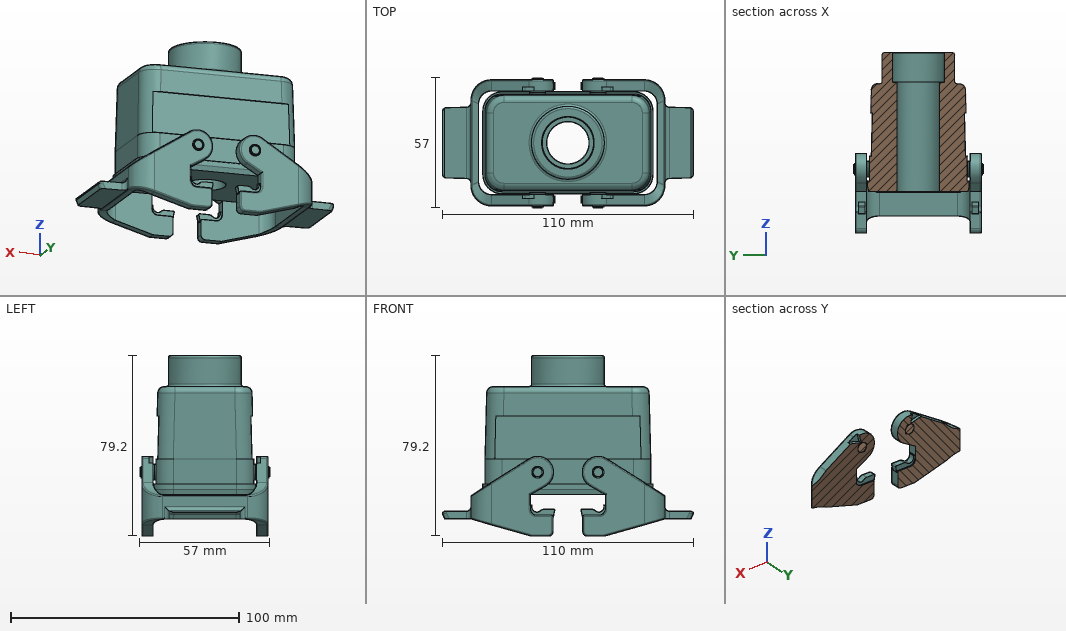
import cadquery as cq
import math


overall_height = 79.2
select_margin = 0.1

skirt_length = 72.75
skirt_width = 42.9
skirt_corner_radius = 7.6
skirt_bottom = 4.7
skirt_top = 15.6
hood_top = 47.4
wall_draft = 1.45
top_edge_radius = 3.0

flange_overhang = 0.95
flange_chamfer_height = 2.3
flange_chamfer_width = 0.6

recess_top = 34.4
recess_depth = 0.75

overall_top = 61.0
neck_diameter = 32.0
neck_top_radius = 1.0
neck_foot_radius = 1.0
bore_diameter = 22.5
bore_edge_chamfer = 0.3
bore_floor = 48.0
passage_diameter = 18.5

pivot_x = 13.25
pivot_z = 9.85
boss_diameter = 7.0
boss_face_y = 22.1
pin_diameter = 5.1
pin_hole_diameter = 5.13
pin_shoulder_y = 28.1
pin_tip_diameter = 4.0
pin_tip_y = 28.5

lever_end_x = -42.5
lever_half_width = 27.67
arm_thickness = 5.0
bar_thickness = 3.4
frame_outer_radius = 9.0
frame_inner_radius = frame_outer_radius - bar_thickness
arm_inner_y = lever_half_width - arm_thickness
corner_x = lever_end_x + frame_outer_radius
edge_radius = 0.6

hub_radius = 6.95
bar_top_z = -0.3
bar_bottom_z = -10.75
foot_bottom = overall_top - overall_height
foot_start_x = -16.0
foot_corner_radius = 2.0
hook_end_x = -6.5
slot_wall_x = -16.4
slot_top_z = 0.0
slot_floor_z = -9.0
slot_corner_radius = 2.8
hook_corner_radius = 0.6

nose_inner_y = 23.4
nose_outer_y = 26.35
nose_back_x = -15.7
nose_back_z = -4.6
nose_hollow_x = -15.35
nose_hollow_z = -6.65
nose_valley_x = -13.6
nose_valley_z = -7.65
nose_crest_x = -10.4
nose_crest_z = -6.35
nose_tip_x = -5.75
nose_foot_x = -6.3
nose_tip_radius = 0.5
nose_embed_depth = 1.0

notch_outer_x = -20.1
notch_ledge_z = 13.9
notch_ledge_end_x = -18.7
notch_root_x = -14.0
notch_root_z = 12.6
notch_lip_x = -15.0
notch_lip_z = 17.0
notch_width = 1.8

tab_tip_x = -55.0
tab_top_z = -7.25
tab_bottom_z = -10.6
tab_tip_top_z = -7.8
tab_tip_bottom_z = -8.5
tab_edge_x = -54.0
tab_tip_half_width = 15.4
tab_root_half_width = 15.75
tab_corner_radius = 1.8
tab_root_radius = 2.0


def cylinder_y(diameter, start_y, end_y, x, z):
    """Cylinder along Y between two Y positions."""
    plane = cq.Plane(origin=(x, start_y, z), xDir=(1, 0, 0), normal=(0, 1, 0))
    return cq.Workplane(plane).circle(diameter / 2).extrude(end_y - start_y)


def rounded_block(length, width, radius, bottom, top):
    block = cq.Workplane("XY").box(length, width, top - bottom, centered=(True, True, False))
    return block.edges("|Z").fillet(radius).translate((0, 0, bottom))


def wall_inset(z):
    """How far the drafted wall has moved inward at height z."""
    return (z - skirt_top) * math.tan(math.radians(wall_draft))


def make_hood_shell():
    skirt = rounded_block(skirt_length, skirt_width, skirt_corner_radius, skirt_bottom, skirt_top)
    upper = (
        cq.Workplane("XY", origin=(0, 0, skirt_top))
        .rect(skirt_length, skirt_width)
        .extrude(hood_top - skirt_top, taper=wall_draft)
        .edges("not #Z").fillet(skirt_corner_radius)
        .faces(">Z").edges().fillet(top_edge_radius)
    )
    flange = rounded_block(
        skirt_length + 2 * flange_overhang,
        skirt_width + 2 * flange_overhang,
        skirt_corner_radius + flange_overhang,
        0,
        skirt_bottom,
    )
    flange = flange.faces("<Z").edges().chamfer(flange_chamfer_height, flange_chamfer_width)
    return skirt.union(upper).union(flange)


def make_wall_recess():
    """Cutter for the -Y wall: its inner face runs parallel to the drafted wall."""
    floor_bottom_y = -skirt_width / 2 + recess_depth
    floor_top_y = floor_bottom_y + wall_inset(recess_top)
    return (
        cq.Workplane("YZ")
        .polyline([
            (floor_bottom_y, skirt_top),
            (floor_top_y, recess_top),
            (-skirt_width, recess_top),
            (-skirt_width, skirt_top),
        ])
        .close()
        .extrude(skirt_length / 2, both=True)
    )


def make_hood():
    hood = make_hood_shell()
    recess = make_wall_recess()
    hood = hood.cut(recess).cut(recess.mirror("XZ"))

    neck_start = hood_top - top_edge_radius
    neck = (
        cq.Workplane("XY", origin=(0, 0, neck_start))
        .circle(neck_diameter / 2)
        .extrude(overall_top - neck_start)
        .faces(">Z").edges().fillet(neck_top_radius)
    )
    hood = hood.union(neck)
    neck_foot = cq.selectors.BoxSelector(
        (-neck_diameter, -neck_diameter, hood_top - select_margin),
        (neck_diameter, neck_diameter, hood_top + select_margin),
        boundingbox=False,
    )
    hood = hood.edges("%CIRCLE").edges(neck_foot).fillet(neck_foot_radius)

    bore = cq.Workplane("XY", origin=(0, 0, bore_floor)).circle(bore_diameter / 2).extrude(overall_top)
    hood = hood.cut(bore)
    passage = cq.Workplane("XY").circle(passage_diameter / 2).extrude(overall_top)
    hood = hood.cut(passage)
    bore_edge = cq.selectors.RadiusNthSelector(0)
    hood = hood.faces(">Z").edges(bore_edge).chamfer(bore_edge_chamfer)

    for x in (-pivot_x, pivot_x):
        for side in (-1, 1):
            wall_y = side * (skirt_width / 2 - recess_depth)
            hood = hood.union(cylinder_y(boss_diameter, wall_y, side * boss_face_y, x, pivot_z))
            hood = hood.union(cylinder_y(pin_diameter, wall_y, side * pin_shoulder_y, x, pivot_z))
            hood = hood.union(cylinder_y(pin_tip_diameter, wall_y, side * pin_tip_y, x, pivot_z))
    return hood


def hub_tangent_point(x, z, side):
    """Point where the line from (x, z) touches the hub circle; side +1 or -1 picks which one."""
    dx = x + pivot_x
    dz = z - pivot_z
    direction = math.atan2(dz, dx) + side * math.acos(hub_radius / math.hypot(dx, dz))
    return (-pivot_x + hub_radius * math.cos(direction), pivot_z + hub_radius * math.sin(direction))


def height_on_line(x, start, end):
    return start[1] + (end[1] - start[1]) * (x - start[0]) / (end[0] - start[0])


top_tangent = hub_tangent_point(lever_end_x, bar_top_z, -1)
slot_tangent = hub_tangent_point(slot_wall_x, slot_top_z, 1)
arm_top_z = height_on_line(corner_x, (lever_end_x, bar_top_z), top_tangent)
arm_bottom_z = height_on_line(corner_x, (lever_end_x, bar_bottom_z), (foot_start_x, foot_bottom))
corner_steps = 8


def make_arms():
    """Both arms, from the rounded frame corners to the hook: side outline extruded along Y."""
    hub_front = (-pivot_x + hub_radius, pivot_z)
    arms = (
        cq.Workplane("XZ")
        .moveTo(corner_x, arm_bottom_z)
        .lineTo(corner_x, arm_top_z)
        .lineTo(*top_tangent)
        .threePointArc(hub_front, slot_tangent)
        .lineTo(slot_wall_x, slot_top_z)
        .lineTo(slot_wall_x, slot_floor_z)
        .lineTo(hook_end_x, slot_floor_z)
        .lineTo(hook_end_x, foot_bottom)
        .lineTo(foot_start_x, foot_bottom)
        .close()
        .extrude(lever_half_width, both=True)
    )

    def corner(x, z):
        return cq.selectors.NearestToPointSelector((x, 0, z))

    arms = arms.edges("|Y").edges(corner(slot_wall_x, slot_floor_z)).fillet(slot_corner_radius)
    arms = arms.edges("|Y").edges(corner(hook_end_x, slot_floor_z)).fillet(hook_corner_radius)
    arms = arms.edges("|Y").edges(corner(hook_end_x, foot_bottom)).fillet(foot_corner_radius)
    gap = cq.Workplane("XY").box(-4 * lever_end_x, 2 * arm_inner_y, 4 * overall_top)
    return arms.cut(gap)


def corner_edge(radius, arm_side_y, arm_z, bar_z):
    """Edge of the +Y frame corner: a quarter turn that runs from arm_z at the arm to bar_z at the bar."""
    center_y = arm_side_y - radius
    points = []
    for step in range(corner_steps + 1):
        angle = math.pi / 2 * step / corner_steps
        points.append(cq.Vector(
            corner_x - radius * math.sin(angle),
            center_y + radius * math.cos(angle),
            arm_z + (bar_z - arm_z) * math.sin(angle),
        ))
    return cq.Edge.makeSpline(points, tangents=[
        cq.Vector(-radius, 0, bar_z - arm_z),
        cq.Vector(0, -radius, 0),
    ])


def make_frame_corner():
    """The +Y frame corner, whose top and bottom twist from the sloped arm to the level bar."""
    outer_top = corner_edge(frame_outer_radius, lever_half_width, arm_top_z, bar_top_z)
    inner_top = corner_edge(frame_inner_radius, arm_inner_y, arm_top_z, bar_top_z)
    outer_bottom = corner_edge(frame_outer_radius, lever_half_width, arm_bottom_z, bar_bottom_z)
    inner_bottom = corner_edge(frame_inner_radius, arm_inner_y, arm_bottom_z, bar_bottom_z)

    def end_face(at_start):
        def end(edge):
            return edge.startPoint() if at_start else edge.endPoint()
        loop = [end(edge) for edge in (outer_top, inner_top, inner_bottom, outer_bottom)]
        return cq.Face.makeFromWires(cq.Wire.makePolygon(loop, close=True))

    faces = [
        cq.Face.makeRuledSurface(outer_top, inner_top),
        cq.Face.makeRuledSurface(outer_bottom, inner_bottom),
        cq.Face.makeRuledSurface(outer_top, outer_bottom),
        cq.Face.makeRuledSurface(inner_top, inner_bottom),
        end_face(True),
        end_face(False),
    ]
    return cq.Workplane(cq.Solid.makeSolid(cq.Shell.makeShell(faces)).fix())


def make_frame():
    bar = cq.Workplane("XY").box(
        bar_thickness,
        2 * (lever_half_width - frame_outer_radius),
        bar_top_z - bar_bottom_z,
        centered=(False, True, False),
    ).translate((lever_end_x, 0, bar_bottom_z))
    corner = make_frame_corner()
    return make_arms().union(bar).union(corner).union(corner.mirror("XZ"))


def round_outer_edges(frame):
    """Round the outline of both arms and the outer edges of the corners and the bar."""
    def corner_zone(low_y, high_y):
        return cq.selectors.BoxSelector(
            (lever_end_x, low_y, foot_bottom),
            (corner_x - select_margin, high_y, hub_radius),
        )

    edges = frame.faces("<Y or >Y").edges()
    edges = edges.add(frame.faces("<X").edges("|Y"))
    edges = edges.add(frame.edges(corner_zone(arm_inner_y, lever_half_width)).edges("not |Z"))
    edges = edges.add(frame.edges(corner_zone(-lever_half_width, -arm_inner_y)).edges("not |Z"))
    return edges.fillet(edge_radius)


def make_nose():
    """Latch nose of the +Y arm: a hollow behind a raised crest."""
    shoulder_z = slot_floor_z - edge_radius
    root_z = shoulder_z - nose_embed_depth
    root_x = slot_wall_x - edge_radius
    crest_run = nose_crest_x - nose_valley_x
    return (
        cq.Workplane("XZ", origin=(0, nose_outer_y, 0))
        .moveTo(root_x, nose_back_z)
        .lineTo(nose_back_x, nose_back_z)
        .threePointArc((nose_hollow_x, nose_hollow_z), (nose_valley_x, nose_valley_z))
        .spline(
            [(nose_crest_x, nose_crest_z)],
            tangents=[(crest_run, 0), (crest_run, 0)],
            includeCurrent=True,
        )
        .lineTo(nose_tip_x - nose_tip_radius, nose_crest_z)
        .radiusArc((nose_tip_x, nose_crest_z - nose_tip_radius), nose_tip_radius)
        .lineTo(nose_foot_x, shoulder_z)
        .lineTo(hook_end_x - edge_radius, root_z)
        .lineTo(root_x, root_z)
        .close()
        .extrude(nose_outer_y - nose_inner_y)
    )


def make_tab():
    """Finger tab, flared where it meets the bar."""
    root_x = lever_end_x + bar_thickness / 2
    bar = (
        cq.Workplane("XY", origin=(0, 0, 2 * tab_bottom_z))
        .rect(-2 * lever_end_x, 2 * lever_half_width)
        .extrude(-2 * tab_bottom_z)
    )
    blade = (
        cq.Workplane("XY", origin=(0, 0, 2 * tab_bottom_z))
        .polyline([
            (root_x, -tab_root_half_width),
            (tab_tip_x, -tab_tip_half_width),
            (tab_tip_x, tab_tip_half_width),
            (root_x, tab_root_half_width),
        ])
        .close()
        .extrude(tab_top_z - 2 * tab_bottom_z)
    )
    root_edges = cq.selectors.BoxSelector(
        (lever_end_x - select_margin, -tab_root_half_width - select_margin, 2 * tab_bottom_z),
        (lever_end_x + select_margin, tab_root_half_width + select_margin, tab_top_z + select_margin),
    )
    flared = bar.union(blade).edges(root_edges).fillet(tab_root_radius)
    side = (
        cq.Workplane("XZ")
        .polyline([
            (root_x, 0),
            (lever_end_x - tab_root_radius, 0),
            (lever_end_x - tab_root_radius, tab_top_z),
            (tab_tip_x, tab_top_z),
            (tab_tip_x, tab_tip_bottom_z),
            (tab_edge_x, tab_bottom_z),
            (root_x, tab_bottom_z),
        ])
        .close()
        .extrude(lever_half_width, both=True)
    )
    flare_half_width = tab_root_half_width + tab_root_radius
    reach = cq.Workplane("XY").box(
        root_x - tab_tip_x,
        2 * flare_half_width,
        tab_top_z + tab_root_radius - tab_bottom_z,
        centered=(False, True, False),
    ).translate((tab_tip_x, 0, tab_bottom_z))
    tab = flared.intersect(side).intersect(reach)
    tip_corners = cq.selectors.BoxSelector(
        (tab_tip_x - select_margin, -lever_half_width, tab_bottom_z),
        (tab_edge_x + select_margin, lever_half_width, tab_top_z - select_margin),
    )
    tab = tab.edges(tip_corners).edges("not |Y").fillet(tab_corner_radius)
    tip_bevel = (
        cq.Workplane("XZ")
        .polyline([(tab_tip_x, tab_tip_top_z), (tab_tip_x, tab_top_z), (tab_edge_x, tab_top_z)])
        .close()
        .extrude(lever_half_width, both=True)
    )
    return tab.cut(tip_bevel)


def make_stop_notch():
    """Cutter for the undercut step on the inner top edge of the +Y arm, next to the hub."""
    return (
        cq.Workplane("XZ", origin=(0, arm_inner_y, 0))
        .polyline([
            (notch_outer_x, notch_ledge_z),
            (notch_ledge_end_x, notch_ledge_z),
            (notch_root_x, notch_root_z),
            (notch_lip_x, notch_lip_z),
            (notch_outer_x, notch_lip_z),
        ])
        .close()
        .extrude(-notch_width)
    )


def make_lever():
    lever = round_outer_edges(make_frame())
    lever = lever.union(make_tab())

    nose = make_nose()
    notch = make_stop_notch()
    lever = lever.union(nose).union(nose.mirror("XZ"))
    lever = lever.cut(notch).cut(notch.mirror("XZ"))

    for side in (-1, 1):
        start_y = side * boss_face_y
        boss = cylinder_y(boss_diameter, start_y, side * arm_inner_y, -pivot_x, pivot_z)
        pin_hole = cylinder_y(pin_hole_diameter, start_y, side * pin_tip_y, -pivot_x, pivot_z)
        lever = lever.union(boss).cut(pin_hole)
    return lever


hood = make_hood().solids()
left_lever = make_lever().solids()
right_lever = left_lever.mirror("YZ")

result = cq.Compound.makeCompound([hood.val(), left_lever.val(), right_lever.val()])